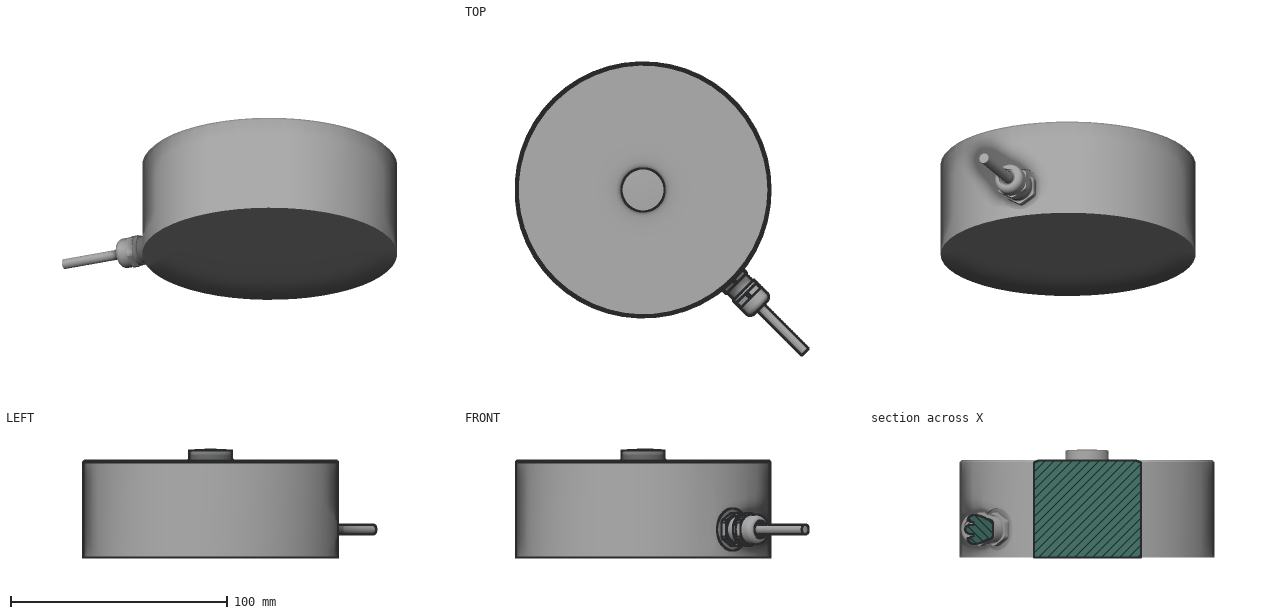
import cadquery as cq
import math

housing_diameter = 118.0
housing_height = 45.0
housing_chamfer = 1.0

total_height = 50.0
button_radius = 10.0
button_dome_rise = 0.5
button_rim_height = total_height - button_dome_rise
button_foot_fillet = 0.5

gland_angle = -45.0
gland_height = 13.0
gland_direction = (math.cos(math.radians(gland_angle)), math.sin(math.radians(gland_angle)), 0)

seat_diameter = 19.5
seat_distance = 58.15

base_hex_end = 61.1
neck_end = 65.6
collar_end = 67.5
cap_hex_end = 70.5
cap_end = 77.0
cable_end = 106.1

hex_flats = 13.8
hex_corner_diameter = 15.3
neck_diameter = 12.5
cap_diameter = 13.8
cap_fillet = 2.6
mouth_diameter = 8.17
mouth_depth = 1.0
seal_bore_diameter = 6.5
seal_bore_depth = 1.0
cable_diameter = 4.6


def gland_plane(distance):
    """Plane square to the gland axis, at a distance from the housing axis."""
    origin = (distance * gland_direction[0], distance * gland_direction[1], gland_height)
    return cq.Plane(origin=origin, xDir=(0, 0, 1), normal=gland_direction)


def gland_disc(start, end, diameter):
    """Round section of the gland between two distances."""
    return cq.Workplane(gland_plane(start)).circle(diameter / 2).extrude(end - start)


def gland_hex(start, end):
    """Hexagon section with a corner at the top, its corners turned down to a cylinder."""
    across_corners = hex_flats / math.cos(math.pi / 6)
    hexagon = cq.Workplane(gland_plane(start)).polygon(6, across_corners).extrude(end - start)
    return hexagon.intersect(gland_disc(start, end, hex_corner_diameter))


def make_housing():
    """Chamfered cylinder, load button and sunken gland seat as one solid."""
    body = cq.Workplane("XY").circle(housing_diameter / 2).extrude(housing_height)
    body = body.faces(">Z").edges().chamfer(housing_chamfer)

    foot_radius = button_radius + button_foot_fillet
    fillet_top = housing_height + button_foot_fillet
    fillet_sag = button_foot_fillet * (1 - math.sqrt(0.5))
    fillet_middle = (button_radius + fillet_sag, housing_height + fillet_sag)
    dome_radius = (button_radius**2 + button_dome_rise**2) / (2 * button_dome_rise)
    dome_middle_x = button_radius / 2
    dome_middle_z = total_height - dome_radius + math.sqrt(dome_radius**2 - dome_middle_x**2)
    button_root = housing_height - housing_chamfer
    button = (
        cq.Workplane("XZ")
        .moveTo(0, button_root)
        .lineTo(foot_radius, button_root)
        .lineTo(foot_radius, housing_height)
        .threePointArc(fillet_middle, (button_radius, fillet_top))
        .lineTo(button_radius, button_rim_height)
        .threePointArc((dome_middle_x, dome_middle_z), (0, total_height))
        .close()
        .revolve(360, (0, 0, 0), (0, 1, 0))
    )
    seat_cut = gland_disc(seat_distance, housing_diameter / 2, seat_diameter)
    return body.union(button).cut(seat_cut)


def make_cable_gland():
    """Gland with its stub of cable as one solid, standing on the seat."""
    gland = gland_hex(seat_distance, base_hex_end)
    gland = gland.union(gland_disc(base_hex_end, neck_end, neck_diameter))
    gland = gland.union(gland_disc(neck_end, collar_end, cap_diameter))
    gland = gland.union(gland_hex(collar_end, cap_hex_end))

    axis = cq.Vector(*gland_direction)
    cap = gland_disc(cap_hex_end, cap_end, cap_diameter)
    cap = cap.faces(cq.selectors.DirectionMinMaxSelector(axis)).edges().fillet(cap_fillet)
    gland = gland.union(cap)

    mouth_floor = cap_end - mouth_depth
    seal_floor = mouth_floor - seal_bore_depth
    gland = gland.cut(gland_disc(mouth_floor, cap_end, mouth_diameter))
    gland = gland.cut(gland_disc(seal_floor, mouth_floor, seal_bore_diameter))
    return gland.union(gland_disc(seal_floor, cable_end, cable_diameter))


housing = make_housing()
cable_gland = make_cable_gland()

result = cq.Compound.makeCompound([housing.val(), cable_gland.val()])